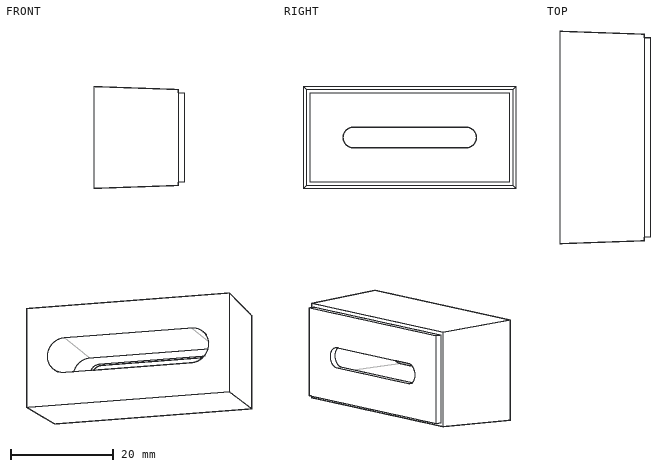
import cadquery as cq

length = 41.5
height = 19.9
body_depth = 16.5
draft_angle = 2.0

pad_thickness = 1.2
pad_length = 38.93
pad_height = 17.45

pocket_length = 33.0
pocket_height = 6.97
pocket_floor = 1.2
pocket_draft = 0.4
slot_length = 25.98
slot_height = 4.0

total_depth = body_depth + pad_thickness
pocket_depth = total_depth - pocket_floor


def slot_cutter(slot_len, slot_width, depth, taper=0):
    """Round-ended slot running along Y, cut from X = 0 toward +X."""
    return cq.Workplane("YZ").slot2D(slot_len, slot_width).extrude(depth, taper=taper)


body = cq.Workplane("YZ").rect(length, height).extrude(body_depth, taper=draft_angle)
pad = (
    cq.Workplane("YZ")
    .workplane(offset=body_depth)
    .rect(pad_length, pad_height)
    .extrude(pad_thickness)
)
pocket = slot_cutter(pocket_length, pocket_height, pocket_depth, pocket_draft)
through_slot = slot_cutter(slot_length, slot_height, total_depth)

result = body.union(pad).cut(pocket).cut(through_slot)